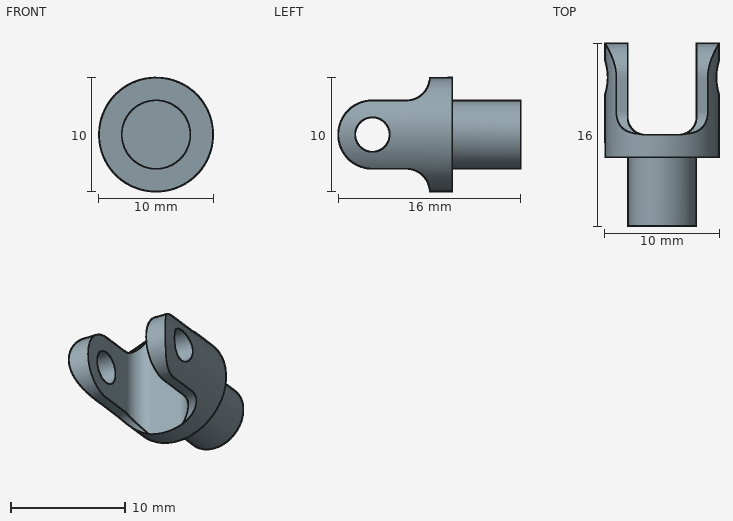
import cadquery as cq

head_diameter = 10.0
shank_diameter = 6.0
shank_length = 6.0
total_length = 16.0
base_thickness = 2.0
slot_width = 6.0
slot_corner_radius = 1.5
ear_width = 6.0
ear_fillet_radius = 2.0

head_radius = head_diameter / 2
head_length = total_length - shank_length
ear_radius = ear_width / 2
pin_hole_diameter = ear_width / 2
pin_y = total_length - ear_radius
slot_floor_y = shank_length + base_thickness
slot_depth = total_length - slot_floor_y
ear_straight_y = slot_floor_y + ear_fillet_radius


def cylinder_along_y(diameter, start_y, length):
    plane = cq.Workplane("XZ", origin=(0, start_y, 0))
    return plane.circle(diameter / 2).extrude(-length)


def ear_profile():
    """Side outline in YZ: disc, concave fillets and round-ended ears."""
    return (
        cq.Workplane("YZ")
        .moveTo(shank_length, -head_radius)
        .lineTo(slot_floor_y, -head_radius)
        .radiusArc((ear_straight_y, -ear_radius), ear_fillet_radius)
        .lineTo(pin_y, -ear_radius)
        .threePointArc((total_length, 0), (pin_y, ear_radius))
        .lineTo(ear_straight_y, ear_radius)
        .radiusArc((slot_floor_y, head_radius), ear_fillet_radius)
        .lineTo(shank_length, head_radius)
        .close()
        .extrude(head_radius, both=True)
    )


def fork_slot():
    """Slot open toward +Y, with rounded corners at its floor."""
    return (
        cq.Workplane("XY")
        .center(0, slot_floor_y + slot_depth / 2)
        .rect(slot_width, slot_depth)
        .extrude(head_radius, both=True)
        .edges("|Z and <Y")
        .fillet(slot_corner_radius)
    )


def pin_hole():
    return (
        cq.Workplane("YZ")
        .center(pin_y, 0)
        .circle(pin_hole_diameter / 2)
        .extrude(head_radius, both=True)
    )


head = cylinder_along_y(head_diameter, shank_length, head_length).intersect(ear_profile())
head = head.cut(fork_slot()).cut(pin_hole())
shank = cylinder_along_y(shank_diameter, 0, shank_length)
result = head.union(shank)